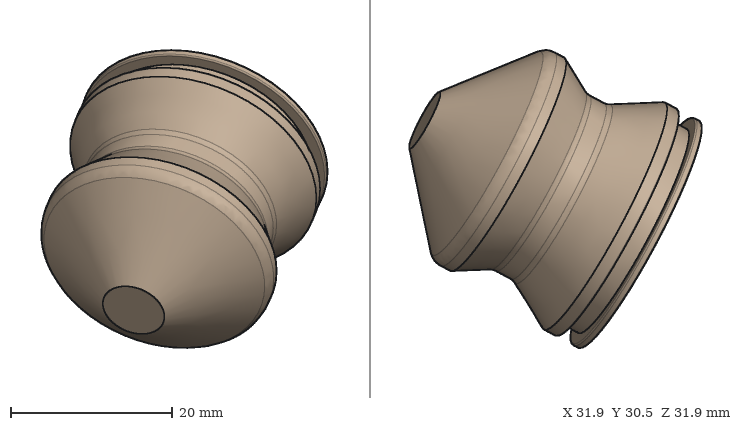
import cadquery as cq
import math

flange_radius = 15.95
groove_radius = 14.32
waist_radius = 12.35
shoulder_radius = 15.0
tip_radius = 4.0

length = 30.5
flange_thickness = 1.0
collar_back = 3.25
collar_front = 5.0
waist_length = 2.97
shoulder_length = 2.33

cone_angle = math.radians(30)

rim_fillet = 0.2
waist_fillet = 1.5
nose_fillet = 2.0

waist_back = collar_front + (flange_radius - waist_radius) / math.tan(cone_angle)
waist_front = waist_back + waist_length
shoulder_back = waist_front + (shoulder_radius - waist_radius) / math.tan(cone_angle)
shoulder_front = shoulder_back + shoulder_length

profile = [
    (0, 0),
    (flange_radius, 0),
    (flange_radius, -flange_thickness),
    (groove_radius, -flange_thickness),
    (groove_radius, -collar_back),
    (flange_radius, -collar_back),
    (flange_radius, -collar_front),
    (waist_radius, -waist_back),
    (waist_radius, -waist_front),
    (shoulder_radius, -shoulder_back),
    (shoulder_radius, -shoulder_front),
    (tip_radius, -length),
    (0, -length),
]
body = cq.Workplane("XY").polyline(profile).close().revolve(360, (0, 0, 0), (0, 1, 0))


def round_edge(solid, position, radius):
    """Fillet the largest circular edge lying at this distance from the back face."""
    reach = 2 * flange_radius
    tolerance = 0.003
    level = cq.selectors.BoxSelector(
        (-reach, -position - tolerance, -reach),
        (reach, -position + tolerance, reach),
        boundingbox=True,
    )
    return solid.edges(level).edges("%CIRCLE").edges(cq.selectors.RadiusNthSelector(-1)).fillet(radius)


for rim in (0, flange_thickness, collar_back):
    body = round_edge(body, rim, rim_fillet)

for waist_end in (waist_back, waist_front):
    body = round_edge(body, waist_end, waist_fillet)

result = round_edge(body, shoulder_front, nose_fillet)